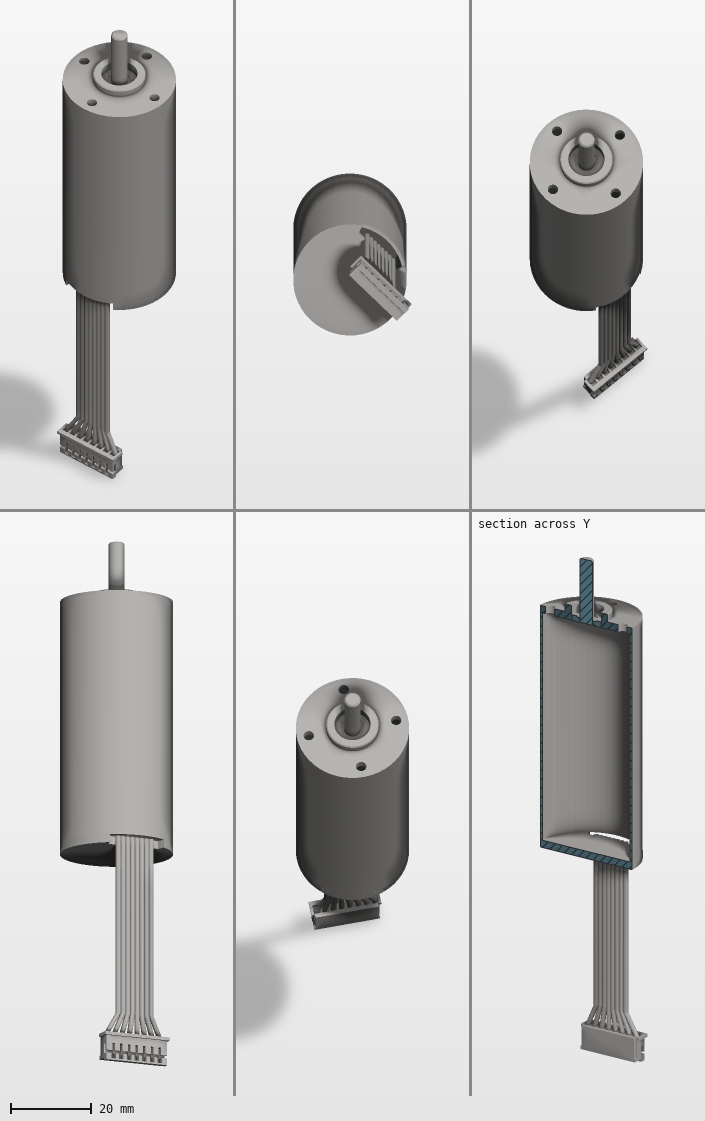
import cadquery as cq


motor_diameter = 28.0
tube_inner_diameter = 26.5
cap_thickness = 2.0
tube_length = 59.9
flange_thickness = 2.0
tube_bottom = cap_thickness
flange_bottom = tube_bottom + tube_length
flange_top = flange_bottom + flange_thickness

boss_diameter = 13.0
boss_height = 2.0
boss_chamfer = 0.3
boss_top = flange_top + boss_height
mount_hole_diameter = 2.5
mount_hole_count = 4
mount_circle_diameter = 22.0

bearing_diameter = 9.0
bearing_width = 1.6
bearing_top = flange_bottom + bearing_width
bearing_ring_diameter = 5.9
bearing_face_recess = 0.3
shaft_diameter = 4.0
shaft_projection = 13.0
shaft_chamfer = 0.4
shaft_top = boss_top + shaft_projection

wire_count = 8
wire_diameter = 1.3
wire_pitch = 1.28
cable_y = -10.6
straight_wire = 4
cable_drop = 55.3
fan_height = 5.5

plug_bottom = -cable_drop
plug_height = 7.0
plug_top = plug_bottom + plug_height
contact_span = 14.6
contact_pitch = contact_span / (wire_count - 1)
plug_width = 16.5
plug_back_y = -8.6
plug_front_y = -12.8
foot_height = 1.7
body_lift = 0.7
finger_bottom = 2.4
notch_top = 4.3
notch_back_y = -11.4
finger_back_y = -12.2
finger_slot_width = 0.7
foot_slot_width = 1.2
foot_slot_bottom = 0.4
slot_back_y = -11.1
lip_width = 17.6
lip_back_y = -9.5
lip_front_y = -13.3
lip_thickness = 0.8
cavity_width = 1.6
cavity_depth = 0.8
cavity_back_y = -9.7
cavity_front_y = -12.1
side_step = 0.3
side_step_bottom = 1.6

strand_bottom = plug_top - cavity_depth

notch_floor_y = cable_y + wire_diameter / 2
notch_floor_width = 13.4
notch_mouth_width = 14.8
notch_mouth_y = -12.0


def centred(index, pitch):
    """Offset of one item of the row of wires or contacts from the middle of the row."""
    return (index - (wire_count - 1) / 2) * pitch


def wire_x(index):
    return centred(index, wire_pitch)


plug_x = wire_x(straight_wire) - centred(straight_wire, contact_pitch)


def contact_x(index):
    return plug_x + centred(index, contact_pitch)


def disc(diameter, bottom, top):
    return cq.Workplane("XY").workplane(offset=bottom).circle(diameter / 2).extrude(top - bottom)


def box(x_middle, width, back_y, front_y, bottom, top):
    """Block given by its middle and width along X and by its limits along Y and Z."""
    return (
        cq.Workplane("XY")
        .box(width, back_y - front_y, top - bottom, centered=(True, False, False))
        .translate((x_middle, front_y, bottom))
    )


def make_shaft():
    return disc(shaft_diameter, flange_bottom, shaft_top).faces(">Z").chamfer(shaft_chamfer)


def make_bearing():
    bearing = disc(bearing_diameter, flange_bottom, bearing_top)
    face_recess = disc(bearing_ring_diameter, bearing_top - bearing_face_recess, bearing_top)
    bore = disc(shaft_diameter, flange_bottom, bearing_top)
    return bearing.cut(face_recess).cut(bore)


def make_flange():
    flange = disc(motor_diameter, flange_bottom, flange_top)
    boss = disc(boss_diameter, flange_bottom, boss_top).faces(">Z").chamfer(boss_chamfer)
    flange = flange.union(boss)
    flange = flange.cut(disc(bearing_diameter, flange_bottom, boss_top))
    mount_holes = (
        cq.Workplane("XY")
        .workplane(offset=flange_bottom)
        .polarArray(mount_circle_diameter / 2, 0, 360, mount_hole_count)
        .circle(mount_hole_diameter / 2)
        .extrude(flange_thickness)
    )
    return flange.cut(mount_holes)


def make_tube():
    bore = disc(tube_inner_diameter, tube_bottom, flange_bottom)
    return disc(motor_diameter, tube_bottom, flange_bottom).cut(bore)


def make_cap():
    """Rear disc with a notch, wider at its mouth, where the cable comes out."""
    cap = disc(motor_diameter, 0, cap_thickness)
    widening = (notch_mouth_width - notch_floor_width) / 2
    slope = widening / (notch_floor_y - notch_mouth_y)
    outside_y = -motor_diameter / 2
    outside_half_width = notch_floor_width / 2 + slope * (notch_floor_y - outside_y)
    notch = (
        cq.Workplane("XY")
        .moveTo(-notch_floor_width / 2, notch_floor_y)
        .lineTo(notch_floor_width / 2, notch_floor_y)
        .lineTo(outside_half_width, outside_y)
        .lineTo(-outside_half_width, outside_y)
        .close()
        .extrude(cap_thickness)
    )
    return cap.cut(notch)


def wire_length(x, bottom, top):
    """Upright stretch of one wire."""
    return disc(wire_diameter, bottom, top).translate((x, cable_y, 0))


def slanted_strand(bottom_x, top_x):
    """Stretch of one wire that leans sideways across the fan and has level ends."""
    return (
        cq.Workplane("XY")
        .workplane(offset=plug_top)
        .center(bottom_x, cable_y)
        .circle(wire_diameter / 2)
        .workplane(offset=fan_height)
        .center(top_x - bottom_x, 0)
        .circle(wire_diameter / 2)
        .loft(ruled=True)
    )


def make_cable():
    """Flat ribbon of joined wires that fan out and end in the cavities of the plug."""
    fan_top = plug_top + fan_height
    cable = cq.Workplane("XY")
    for index in range(wire_count):
        cable = cable.union(wire_length(wire_x(index), fan_top, tube_bottom))
    for index in range(wire_count):
        if index == straight_wire:
            strand = wire_length(wire_x(index), plug_top, fan_top)
        else:
            strand = slanted_strand(contact_x(index), wire_x(index))
        wire_end = wire_length(contact_x(index), strand_bottom, plug_top)
        cable = cable.union(strand).union(wire_end)
    return cable


def make_plug():
    """Plug housing with latch fingers above a foot, slotted between the contacts."""
    profile = [
        (plug_back_y, plug_height),
        (plug_back_y, body_lift),
        (notch_back_y, body_lift),
        (notch_back_y, 0),
        (plug_front_y, 0),
        (plug_front_y, foot_height),
        (notch_back_y, foot_height),
        (notch_back_y, notch_top),
        (finger_back_y, notch_top),
        (finger_back_y, finger_bottom),
        (plug_front_y, finger_bottom),
        (plug_front_y, plug_height),
    ]
    plug = (
        cq.Workplane("YZ")
        .polyline(profile)
        .close()
        .extrude(plug_width / 2, both=True)
        .translate((plug_x, 0, plug_bottom))
    )
    plug = plug.union(box(plug_x, lip_width, lip_back_y, lip_front_y, plug_top - lip_thickness, plug_top))
    for side in (-1, 1):
        step_x = plug_x + side * (plug_width - side_step) / 2
        plug = plug.cut(
            box(step_x, side_step, plug_back_y, lip_back_y, plug_bottom + side_step_bottom, plug_top)
        )
    for index in range(wire_count - 1):
        slot_x = contact_x(index) + contact_pitch / 2
        finger_slot = box(
            slot_x,
            finger_slot_width,
            slot_back_y,
            plug_front_y,
            plug_bottom + foot_height,
            plug_bottom + notch_top,
        )
        foot_slot = box(
            slot_x,
            foot_slot_width,
            slot_back_y,
            plug_front_y,
            plug_bottom + foot_slot_bottom,
            plug_bottom + foot_height,
        )
        plug = plug.cut(finger_slot).cut(foot_slot)
    for index in range(wire_count):
        cavity = box(
            contact_x(index), cavity_width, cavity_back_y, cavity_front_y, strand_bottom, plug_top
        )
        plug = plug.cut(cavity)
    return plug


shaft = make_shaft()
bearing = make_bearing()
flange = make_flange()
tube = make_tube()
cap = make_cap()
cable = make_cable()
plug = make_plug()

result = cq.Compound.makeCompound(
    [shaft.val(), bearing.val(), flange.val(), tube.val(), cap.val(), cable.val(), plug.val()]
)